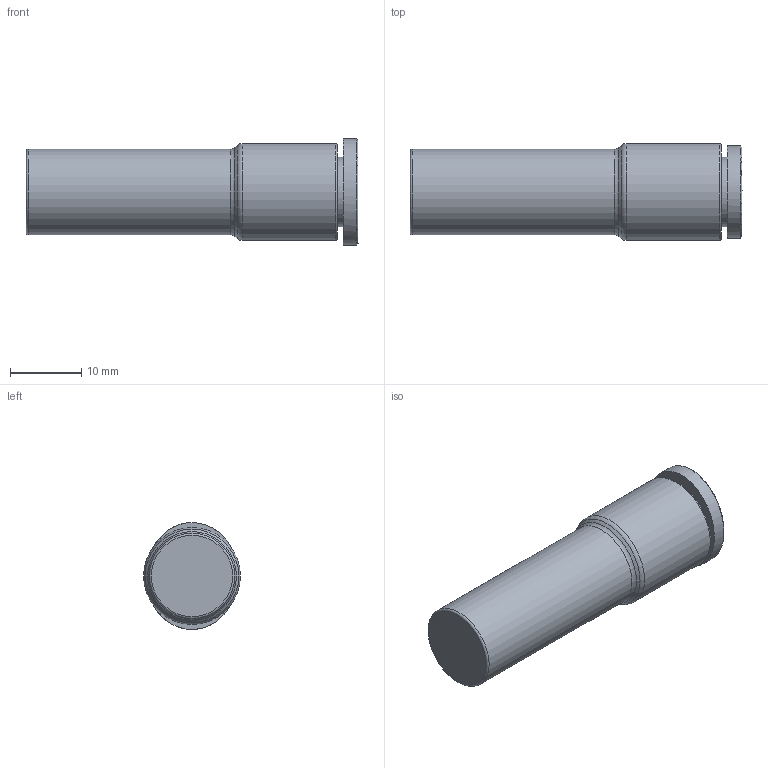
import cadquery as cq
import math

TOTAL_LENGTH = 46.6
FLANGE_THICKNESS = 2.1
NECK_LENGTH = 0.8
TAPER_START = 28.65

PLUG_DIAMETER = 12.0
BODY_DIAMETER = 13.6
NECK_DIAMETER = 9.7

FLANGE_WIDTH_Y = 13.0
FLANGE_HEIGHT_Z = 15.0

PLUG_END_FILLET = 0.3
BODY_END_FILLET = 0.3
FLANGE_END_CHAMFER = 0.2
TAPER_ANGLE = math.radians(40)
TAPER_BLEND_RADIUS = 1.0

plug_radius = PLUG_DIAMETER / 2
body_radius = BODY_DIAMETER / 2
flange_start = TOTAL_LENGTH - FLANGE_THICKNESS
body_end = flange_start - NECK_LENGTH


def blend_offset(angle):
    """Axial and radial travel along a taper blend that has turned by the given angle."""
    axial = TAPER_BLEND_RADIUS * math.sin(angle)
    radial = TAPER_BLEND_RADIUS * (1 - math.cos(angle))
    return axial, radial


def make_plug_and_body():
    """Revolve the plug, the blended taper and the body as one solid."""
    mid_axial, mid_radial = blend_offset(TAPER_ANGLE / 2)
    blend_axial, blend_radial = blend_offset(TAPER_ANGLE)
    cone_rise = body_radius - plug_radius - 2 * blend_radial
    cone_length = cone_rise / math.tan(TAPER_ANGLE)
    taper_end = TAPER_START + 2 * blend_axial + cone_length

    half_profile = (
        cq.Workplane("XZ")
        .moveTo(0, 0)
        .lineTo(0, plug_radius)
        .lineTo(TAPER_START, plug_radius)
        .threePointArc(
            (TAPER_START + mid_axial, plug_radius + mid_radial),
            (TAPER_START + blend_axial, plug_radius + blend_radial),
        )
        .lineTo(taper_end - blend_axial, body_radius - blend_radial)
        .threePointArc(
            (taper_end - mid_axial, body_radius - mid_radial),
            (taper_end, body_radius),
        )
        .lineTo(body_end, body_radius)
        .lineTo(body_end, 0)
        .close()
    )
    solid = half_profile.revolve(360, (0, 0, 0), (1, 0, 0))
    solid = solid.faces("<X").edges().fillet(PLUG_END_FILLET)
    return solid.faces(">X").edges().fillet(BODY_END_FILLET)


def make_neck():
    """Round neck joining the body to the flange."""
    return cq.Workplane("YZ", origin=(body_end, 0, 0)).circle(NECK_DIAMETER / 2).extrude(NECK_LENGTH)


def make_flange():
    """Elliptical flange, taller than it is wide, with a chamfered outer rim."""
    flange = (
        cq.Workplane("YZ", origin=(flange_start, 0, 0))
        .ellipse(FLANGE_WIDTH_Y / 2, FLANGE_HEIGHT_Z / 2)
        .extrude(FLANGE_THICKNESS)
    )
    return flange.faces(">X").edges().chamfer(FLANGE_END_CHAMFER)


result = make_plug_and_body().union(make_neck()).union(make_flange())